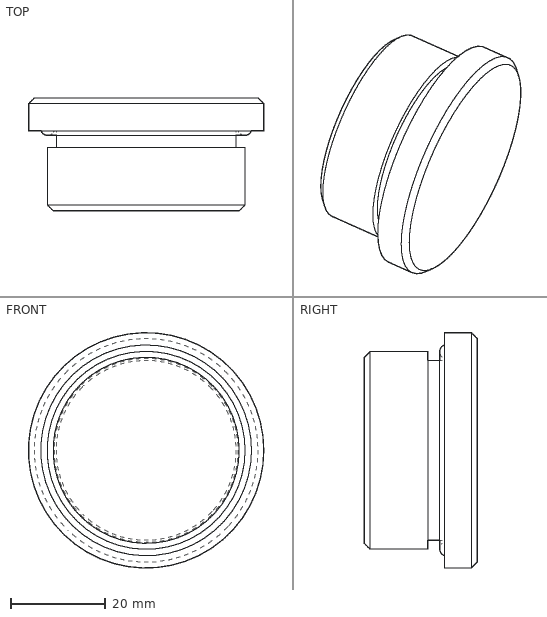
import cadquery as cq

total_length = 24.0
flange_diameter = 50.0
flange_thickness = 7.0
shank_diameter = 42.0
shank_length = 13.5
neck_diameter = 38.2
edge_chamfer = 1.25

ring_centre_diameter = 41.9
ring_cord_radius = 1.5
ring_protrusion = 1.0

front_y = -total_length / 2
back_y = total_length / 2
flange_face_y = back_y - flange_thickness


def disc(diameter, start_y, length):
    """Cylinder about the Y axis, running from start_y toward +Y."""
    plane = cq.Workplane("XZ", origin=(0, start_y, 0))
    return plane.circle(diameter / 2).extrude(-length)


def sealing_ring():
    """Round cord centred behind the flange face, standing proud by ring_protrusion."""
    cord_centre_x = ring_centre_diameter / 2
    cord_centre_y = flange_face_y - ring_protrusion + ring_cord_radius
    profile = cq.Workplane("XY").center(cord_centre_x, cord_centre_y).circle(ring_cord_radius)
    axis_start = (-cord_centre_x, 0)
    axis_end = (-cord_centre_x, 1)
    return profile.revolve(360, axis_start, axis_end)


flange = disc(flange_diameter, flange_face_y, flange_thickness).faces(">Y").chamfer(edge_chamfer)
shank = disc(shank_diameter, front_y, shank_length).faces("<Y").chamfer(edge_chamfer)
neck = disc(neck_diameter, front_y + shank_length, total_length - shank_length - flange_thickness)

result = flange.union(neck).union(shank).union(sealing_ring())